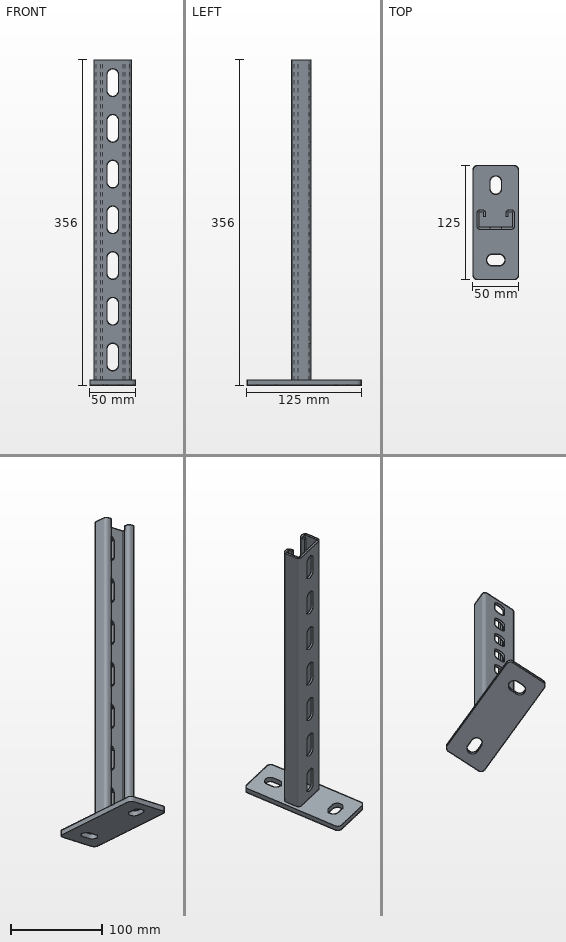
import cadquery as cq

PLATE_WIDTH = 50.0
PLATE_LENGTH = 125.0
PLATE_THICKNESS = 6.0
PLATE_CORNER_RADIUS = 5.0
PLATE_SLOT_LENGTH = 20.0
PLATE_SLOT_WIDTH = 12.5
PLATE_SLOT_OFFSET = 41.0

TOTAL_HEIGHT = 356.0
RAIL_HEIGHT = TOTAL_HEIGHT - PLATE_THICKNESS
RAIL_WIDTH = 41.3
RAIL_DEPTH = 21.5
RAIL_WEB_Y = -7.5
WALL = 2.5
BEND_RADIUS = 4.0
LIP_WIDTH = 9.5
LIP_DEPTH = 7.0

RAIL_SLOT_COUNT = 7
RAIL_SLOT_PITCH = RAIL_HEIGHT / RAIL_SLOT_COUNT
RAIL_SLOT_LENGTH = 30.0
RAIL_SLOT_WIDTH = 12.5


def make_base_plate():
    """Flat plate with rounded corners and two slots set at right angles to each other."""
    plate = (
        cq.Workplane("XY")
        .rect(PLATE_WIDTH, PLATE_LENGTH)
        .extrude(PLATE_THICKNESS)
        .edges("|Z")
        .fillet(PLATE_CORNER_RADIUS)
    )
    for side, angle in ((1, 90), (-1, 0)):
        slot = (
            cq.Workplane("XY")
            .center(0, side * PLATE_SLOT_OFFSET)
            .slot2D(PLATE_SLOT_LENGTH, PLATE_SLOT_WIDTH, angle)
            .extrude(PLATE_THICKNESS)
        )
        plate = plate.cut(slot)
    return plate


def make_channel():
    """C-shaped channel standing on the plate, open towards +Y, with return lips."""
    half_width = RAIL_WIDTH / 2
    tip_x = half_width - LIP_WIDTH
    open_y = RAIL_WEB_Y + RAIL_DEPTH
    lip_end_y = open_y - LIP_DEPTH

    outer_half = [
        (half_width, RAIL_WEB_Y),
        (half_width, open_y),
        (tip_x, open_y),
        (tip_x, lip_end_y),
    ]
    inner_half = [
        (tip_x + WALL, lip_end_y),
        (tip_x + WALL, open_y - WALL),
        (half_width - WALL, open_y - WALL),
        (half_width - WALL, RAIL_WEB_Y + WALL),
    ]
    right_half = outer_half + inner_half
    left_half = [(-x, y) for x, y in reversed(right_half)]

    channel = (
        cq.Workplane("XY", origin=(0, 0, PLATE_THICKNESS))
        .polyline(right_half + left_half)
        .close()
        .extrude(RAIL_HEIGHT)
    )
    return round_bends(channel, outer_half[:3], BEND_RADIUS)


def round_bends(channel, corners, radius):
    """Fillet the upright edges at the given corners and at their mirror images in X."""
    for x, y in corners:
        for mirrored_x in (x, -x):
            edge = cq.selectors.NearestToPointSelector((mirrored_x, y, PLATE_THICKNESS + RAIL_HEIGHT / 2))
            channel = channel.edges("|Z").edges(edge).fillet(radius)
    return channel


def cut_web_slots(channel):
    """Cut a row of evenly spaced upright slots through the web."""
    for index in range(RAIL_SLOT_COUNT):
        slot_z = PLATE_THICKNESS + (index + 0.5) * RAIL_SLOT_PITCH
        slot = (
            cq.Workplane("XZ", origin=(0, RAIL_WEB_Y, slot_z))
            .slot2D(RAIL_SLOT_LENGTH, RAIL_SLOT_WIDTH, 90)
            .extrude(-WALL)
        )
        channel = channel.cut(slot)
    return channel


base_plate = make_base_plate()
rail = cut_web_slots(make_channel())

result = cq.Compound.makeCompound([base_plate.val(), rail.val()])